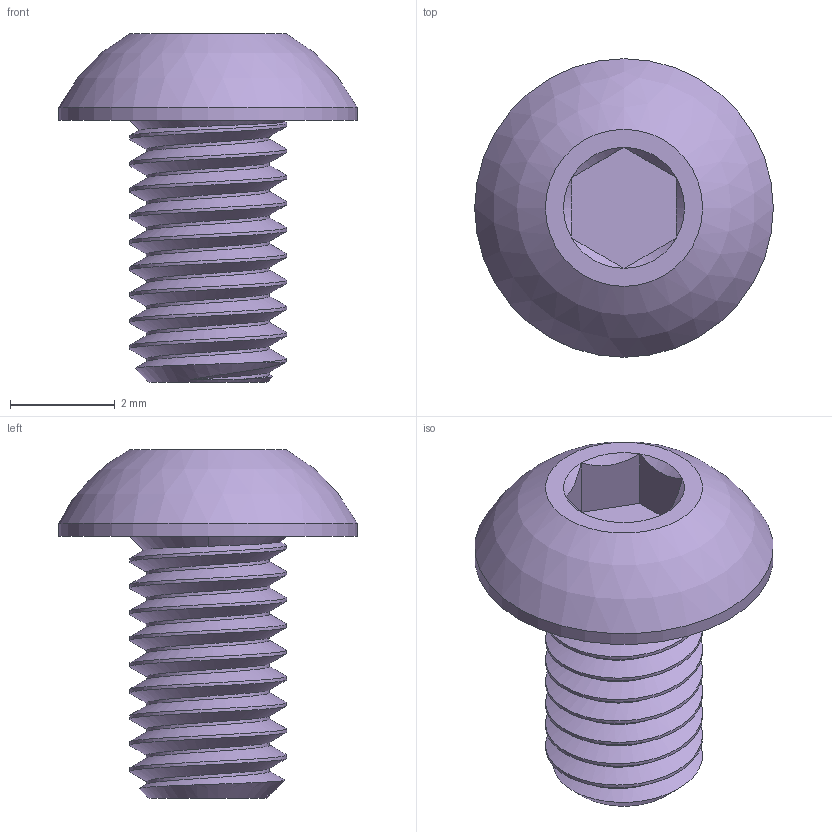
import cadquery as cq
import math


head_diameter = 5.7
head_height = 1.65
rim_height = 0.25
top_flat_diameter = 3.0

socket_width = 2.0
socket_depth = 1.155

thread_diameter = 3.0
thread_pitch = 0.5
shank_length = 5.0
tip_chamfer = 0.75 * thread_pitch
groove_centre_height = 0.167

flank_slope = math.tan(math.radians(60 / 2))
crest_flat = thread_pitch / 8
root_flat = thread_pitch / 8

head_radius = head_diameter / 2
top_flat_radius = top_flat_diameter / 2
thread_radius = thread_diameter / 2
thread_depth = (thread_pitch - crest_flat - root_flat) / 2 / flank_slope
root_radius = thread_radius - thread_depth
screw_length = shank_length + head_height
rim_top = shank_length + rim_height
socket_sides = 6
socket_flat_radius = socket_width / 2
socket_corner_radius = socket_flat_radius / math.cos(math.pi / socket_sides)


def make_head():
    """Domed head: a sphere centred on the screw axis above a short cylindrical rim."""
    dome_centre = (screw_length**2 + top_flat_radius**2 - rim_top**2 - head_radius**2) / (
        2 * (screw_length - rim_top)
    )
    dome_radius = math.hypot(head_radius, rim_top - dome_centre)
    dome_mid_angle = (
        math.atan2(rim_top - dome_centre, head_radius)
        + math.atan2(screw_length - dome_centre, top_flat_radius)
    ) / 2
    dome_mid = (
        dome_radius * math.cos(dome_mid_angle),
        dome_centre + dome_radius * math.sin(dome_mid_angle),
    )
    return (
        cq.Workplane("YZ")
        .moveTo(0, shank_length)
        .lineTo(head_radius, shank_length)
        .lineTo(head_radius, rim_top)
        .threePointArc(dome_mid, (top_flat_radius, screw_length))
        .lineTo(0, screw_length)
        .close()
        .revolve(360, (0, 0, 0), (0, 1, 0))
    )


def make_socket():
    """Flat-bottomed hexagon with corners on +Y and -Y, and a 45 degree countersink to its corners."""
    hexagon = (
        cq.Workplane("XY")
        .workplane(offset=screw_length - socket_depth)
        .polygon(socket_sides, 2 * socket_corner_radius)
        .extrude(socket_depth)
        .rotate((0, 0, 0), (0, 0, 1), 90)
    )
    countersink = cq.Workplane(
        cq.Solid.makeCone(
            socket_corner_radius,
            socket_flat_radius,
            socket_corner_radius - socket_flat_radius,
            pnt=cq.Vector(0, 0, screw_length),
            dir=cq.Vector(0, 0, -1),
        )
    )
    return hexagon.union(countersink)


def make_groove():
    """Right-hand helical thread groove that runs past both ends of the shank."""
    overrun = crest_flat / 2
    start_height = groove_centre_height - thread_pitch
    turns = math.ceil(shank_length / thread_pitch) + 2
    path = cq.Wire.makeHelix(
        thread_pitch, turns * thread_pitch, root_radius, center=cq.Vector(0, 0, start_height)
    )
    root_half = root_flat / 2
    mouth_radius = thread_radius + overrun
    mouth_half = root_half + (mouth_radius - root_radius) * flank_slope
    return (
        cq.Workplane("XZ")
        .moveTo(root_radius, start_height - root_half)
        .lineTo(mouth_radius, start_height - mouth_half)
        .lineTo(mouth_radius, start_height + mouth_half)
        .lineTo(root_radius, start_height + root_half)
        .close()
        .sweep(cq.Workplane(path), isFrenet=True)
    )


def make_shank():
    """Threaded rod, longer than its groove, trimmed to the shank with a chamfered tip."""
    bottom_margin = 2 * thread_pitch
    top_margin = 3 * thread_pitch
    threaded_rod = (
        cq.Workplane("XY")
        .workplane(offset=-bottom_margin)
        .circle(thread_radius)
        .extrude(bottom_margin + shank_length + top_margin)
        .cut(make_groove())
    )
    envelope = cq.Workplane("XY").circle(thread_radius).extrude(shank_length)
    envelope = envelope.faces("<Z").chamfer(tip_chamfer)
    return threaded_rod.intersect(envelope)


def make_neck():
    """45 degree cone that fills the groove where the thread meets the head."""
    return cq.Workplane(
        cq.Solid.makeCone(
            thread_radius,
            root_radius,
            thread_depth,
            pnt=cq.Vector(0, 0, shank_length),
            dir=cq.Vector(0, 0, -1),
        )
    )


result = make_shank().union(make_neck()).union(make_head()).cut(make_socket())